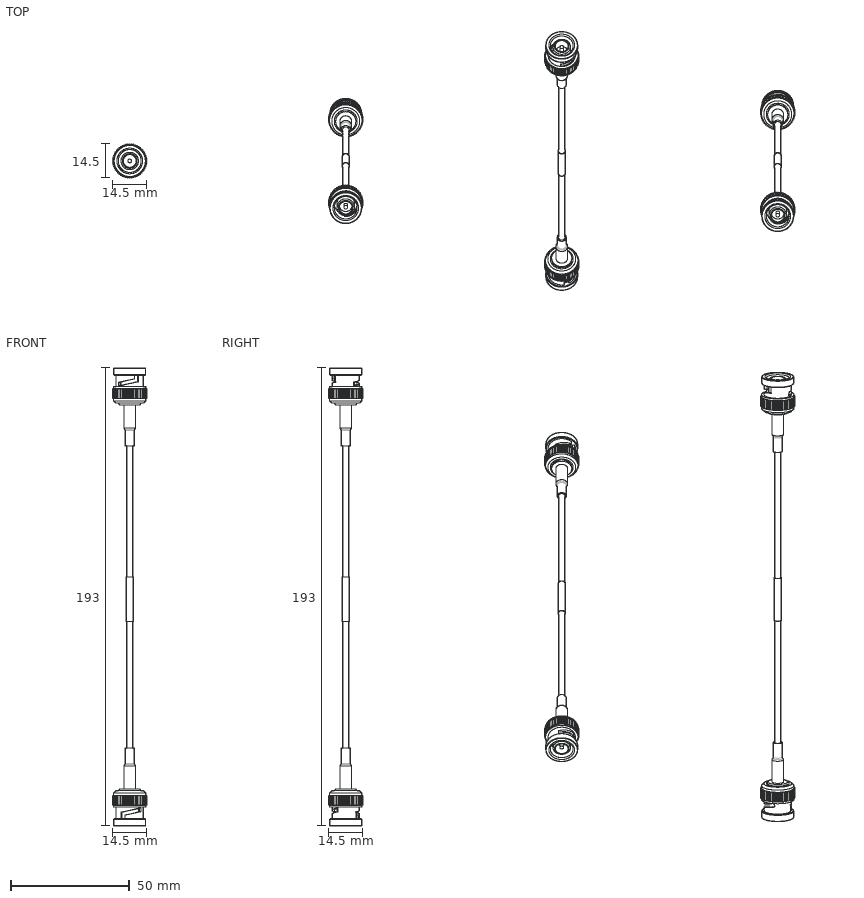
import cadquery as cq
import math

length = 193.0
tip_z = length / 2

rim_radius = 6.8
rim_depth = 3.0
rim_chamfer = 0.2
rim_lower_chamfer = 0.29
neck_radius = 5.8
grip_radius = 6.85
grip_depth = 8.0
nut_depth = 14.9
nut_back_chamfer = 1.0
bore_radius = 4.8
mouth_chamfer = 0.5

knurl_radius = 7.24
knurl_start = 8.7
knurl_end = 13.0
knurl_bevel = 0.2
tooth_count = 56

slot_count = 2
slot_width = 1.5
entry_width = 2.1
entry_angle = -60
ramp_sweep = 78
ramp_start_depth = 5.2
lock_depth = 6.8
lock_hole_radius = 0.87
cut_clearance = 0.2
cut_inner = bore_radius - cut_clearance
cut_outer = neck_radius + cut_clearance

shoulder_depth = 9.5
shoulder_thickness = 1.2
hub_radius = 4.2
collar_radius = 4.8
collar_depth = 15.6
collar_chamfer = 0.5
contact_outer_radius = 3.7
contact_inner_radius = 2.7
contact_depth = 0.8
contact_chamfer = 0.5
insulator_depth = 5.8
pin_radius = 0.8
pin_depth = 1.5

sleeve_radius = 2.5
sleeve_step_depth = 25.3
sleeve_knee_depth = 25.9
sleeve_knee_radius = 2.1
sleeve_tail_depth = 26.5
sleeve_tail_radius = 2.0
sleeve_depth = 32.8

cable_radius = 1.4
label_radius = 1.5
label_top = 8.5
label_bottom = -10.2


def revolve_profile(points):
    """Revolve (radius, depth) points about Z; depth runs down from the tip."""
    outline = [(-radius, tip_z - depth) for radius, depth in points]
    return cq.Workplane("XZ").polyline(outline).close().revolve(360, (0, 0), (0, 1))


def make_knurl():
    """Ring of straight pointed teeth with bevelled ends."""
    half_pitch = math.pi / tooth_count
    star = []
    for i in range(2 * tooth_count):
        radius = knurl_radius if i % 2 == 0 else grip_radius
        star.append((radius * math.cos(i * half_pitch), radius * math.sin(i * half_pitch)))
    teeth = cq.Workplane("XY").workplane(offset=tip_z - knurl_end).polyline(star).close()
    teeth = teeth.extrude(knurl_end - knurl_start)
    envelope = revolve_profile([
        (neck_radius, knurl_start),
        (grip_radius, knurl_start),
        (knurl_radius, knurl_start + knurl_bevel),
        (knurl_radius, knurl_end - knurl_bevel),
        (grip_radius, knurl_end),
        (neck_radius, knurl_end),
    ])
    return teeth.intersect(envelope)


def make_bayonet_cutter():
    """Entry, helical ramp and lock hole of one bayonet slot."""
    cut_width = cut_outer - cut_inner
    cut_middle = (cut_outer + cut_inner) / 2
    entry_height = ramp_start_depth + slot_width / 2 - rim_depth
    entry = cq.Workplane("XY").box(cut_width, entry_width, entry_height)
    entry = entry.translate((cut_middle, 0, tip_z - rim_depth - entry_height / 2))
    entry = entry.rotate((0, 0, 0), (0, 0, 1), entry_angle)

    lock_angle = entry_angle - ramp_sweep
    rise = lock_depth - ramp_start_depth
    pitch = rise * 360 / ramp_sweep
    path = cq.Wire.makeHelix(pitch, rise, cut_middle)
    ramp = cq.Workplane("XZ").center(cut_middle, 0).rect(cut_width, slot_width).sweep(path, isFrenet=True)
    ramp = ramp.translate((0, 0, tip_z - lock_depth)).rotate((0, 0, 0), (0, 0, 1), lock_angle)

    lock_hole = cq.Workplane("YZ").workplane(offset=cut_inner).circle(lock_hole_radius).extrude(cut_width)
    lock_hole = lock_hole.translate((0, 0, tip_z - lock_depth)).rotate((0, 0, 0), (0, 0, 1), lock_angle)
    return entry.union(ramp).union(lock_hole)


def make_coupling_nut():
    """Bayonet coupling nut with a stepped bore, knurled grip and two slots."""
    nut = revolve_profile([
        (bore_radius + mouth_chamfer, 0),
        (rim_radius - rim_chamfer, 0),
        (rim_radius, rim_chamfer),
        (rim_radius, rim_depth - rim_lower_chamfer),
        (rim_radius - rim_lower_chamfer, rim_depth),
        (neck_radius, rim_depth),
        (neck_radius, grip_depth),
        (grip_radius, grip_depth),
        (grip_radius, nut_depth - nut_back_chamfer),
        (grip_radius - nut_back_chamfer, nut_depth),
        (hub_radius, nut_depth),
        (hub_radius, shoulder_depth + shoulder_thickness),
        (bore_radius, shoulder_depth + shoulder_thickness),
        (bore_radius, mouth_chamfer),
    ])
    nut = nut.union(make_knurl())
    for i in range(slot_count):
        nut = nut.cut(make_bayonet_cutter().rotate((0, 0, 0), (0, 0, 1), i * 360 / slot_count))
    return nut.val()


def make_plug_body():
    """Turned body with the outer contact, insulator and centre pin."""
    return revolve_profile([
        (0, pin_depth),
        (pin_radius, pin_depth),
        (pin_radius, insulator_depth),
        (contact_inner_radius, insulator_depth),
        (contact_inner_radius, contact_depth),
        (contact_outer_radius - contact_chamfer, contact_depth),
        (contact_outer_radius, contact_depth + contact_chamfer),
        (contact_outer_radius, shoulder_depth),
        (bore_radius, shoulder_depth),
        (bore_radius, shoulder_depth + shoulder_thickness),
        (hub_radius, shoulder_depth + shoulder_thickness),
        (hub_radius, nut_depth),
        (collar_radius, nut_depth),
        (collar_radius - collar_chamfer, collar_depth),
        (0, collar_depth),
    ]).val()


def make_sleeve():
    """Stepped sleeve that grips the cable behind the collar."""
    return revolve_profile([
        (cable_radius, collar_depth),
        (sleeve_radius, collar_depth),
        (sleeve_radius, sleeve_step_depth),
        (sleeve_knee_radius, sleeve_knee_depth),
        (sleeve_tail_radius, sleeve_tail_depth),
        (sleeve_tail_radius, sleeve_depth),
        (cable_radius, sleeve_depth),
    ]).val()


def make_cable():
    return revolve_profile([
        (0, collar_depth),
        (cable_radius, collar_depth),
        (cable_radius, length - collar_depth),
        (0, length - collar_depth),
    ]).val()


def make_label():
    return revolve_profile([
        (cable_radius, tip_z - label_top),
        (label_radius, tip_z - label_top),
        (label_radius, tip_z - label_bottom),
        (cable_radius, tip_z - label_bottom),
    ]).val()


bodies = [make_cable(), make_label()]
for turn in (0, 180):
    for body in (make_coupling_nut(), make_plug_body(), make_sleeve()):
        bodies.append(body.rotate(cq.Vector(0, 0, 0), cq.Vector(1, 0, 0), turn))

result = cq.Compound.makeCompound(bodies)